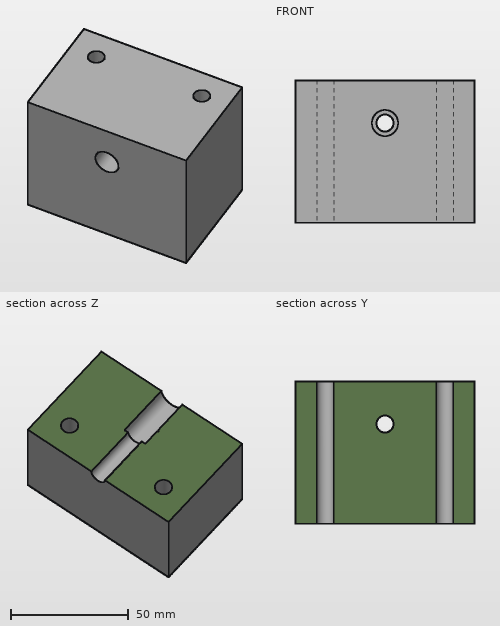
import cadquery as cq

length = 76.2
width = 50.8
height = 60.5

hole_diameter = 7.2
counterbore_diameter = 11.1
counterbore_depth = width / 2
cross_hole_drop = 18.1
edge_distance = 12.7

block = cq.Workplane("XY").box(length, width, height)

vertical_hole_x = length / 2 - edge_distance
vertical_hole_y = width / 2 - edge_distance
drilled_block = (
    block.faces(">Z")
    .workplane(origin=(0, 0, 0))
    .pushPoints([(-vertical_hole_x, vertical_hole_y), (vertical_hole_x, vertical_hole_y)])
    .hole(hole_diameter)
)

cross_hole_z = height / 2 - cross_hole_drop
result = (
    drilled_block.faces("<Y")
    .workplane(origin=(0, 0, cross_hole_z))
    .cboreHole(hole_diameter, counterbore_diameter, counterbore_depth)
)